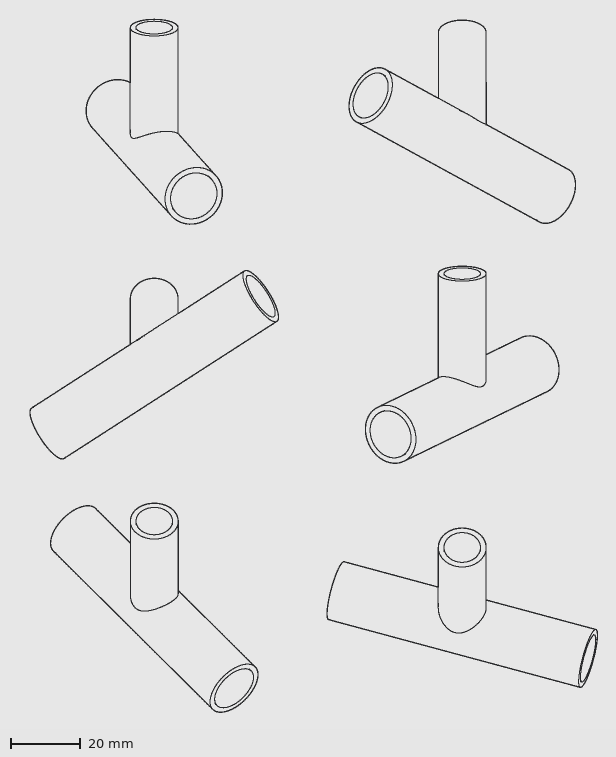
import cadquery as cq

run_length = 76.2
run_outer_diameter = 17.3
run_bore_diameter = 14.0

branch_height = run_length / 2
branch_outer_diameter = 13.8
branch_bore_diameter = 10.5


def run_cylinder(diameter):
    """Full-length cylinder along X, centred on the origin."""
    return cq.Workplane("YZ").circle(diameter / 2).extrude(run_length / 2, both=True)


def branch_cylinder(diameter):
    """Cylinder along Z from the run axis up to the branch end face."""
    return cq.Workplane("XY").circle(diameter / 2).extrude(branch_height)


outer_body = run_cylinder(run_outer_diameter).union(branch_cylinder(branch_outer_diameter))

bores = run_cylinder(run_bore_diameter).union(branch_cylinder(branch_bore_diameter))

result = outer_body.cut(bores)